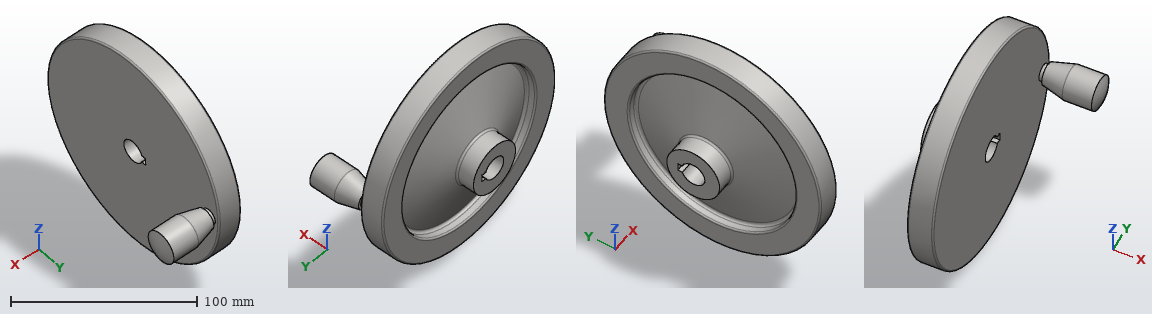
import cadquery as cq
import math

overall_length = 70.7
overall_width = 142.5

wheel_radius = 140.0 / 2
rim_width = 15.8
hub_radius = 34.0 / 2
hub_projection = 18.1
rim_edge_radius = 1.0

web_angle = math.radians(20)
web_face_radius = 34.6
recess_radius = 107.8 / 2
hub_fillet = 1.4
recess_fillet = 1.5

bore_diameter = 15.0
keyway_width = 5.0
keyway_reach = 10.0

grip_radius = 21.0 / 2
grip_base_radius = 13.7 / 2
neck_radius = 10.1 / 2
neck_length = 2.5
taper_length = 14.1
dome_height = 2.5

rim_back_x = hub_projection + rim_width
handle_y = overall_width - wheel_radius - grip_radius


def web_x(radius):
    """X position of the conical web at a given radius."""
    return hub_projection + (radius - web_face_radius) * math.tan(web_angle)


def circle_edge(x, radius):
    """Selector for circular edges at this X, up to this radius."""
    size = 0.07
    return cq.selectors.BoxSelector(
        (x - size, -radius - size, -radius - size),
        (x + size, radius + size, radius + size),
        boundingbox=True,
    )


def make_wheel():
    hub_root_x = web_x(hub_radius)
    recess_floor_x = web_x(recess_radius)
    wheel = (
        cq.Workplane("XY")
        .moveTo(0, 0)
        .lineTo(0, hub_radius)
        .lineTo(hub_root_x, hub_radius)
        .lineTo(recess_floor_x, recess_radius)
        .lineTo(hub_projection, recess_radius)
        .lineTo(hub_projection, wheel_radius)
        .lineTo(rim_back_x, wheel_radius)
        .lineTo(rim_back_x, 0)
        .close()
        .revolve(360, (0, 0, 0), (1, 0, 0))
    )
    wheel = wheel.edges(circle_edge(hub_root_x, hub_radius)).fillet(hub_fillet)
    wheel = wheel.edges(circle_edge(recess_floor_x, recess_radius)).fillet(recess_fillet)
    for rim_x in (hub_projection, rim_back_x):
        wheel = wheel.edges(circle_edge(rim_x, wheel_radius)).fillet(rim_edge_radius)
    return wheel


def make_bore():
    bore = cq.Workplane("YZ").circle(bore_diameter / 2).extrude(rim_back_x)
    keyway = (
        cq.Workplane("YZ")
        .center(keyway_reach / 2, 0)
        .rect(keyway_reach, keyway_width)
        .extrude(rim_back_x)
    )
    return bore.union(keyway)


def make_handle():
    """Neck, tapered grip and domed end, revolved about the handle axis."""
    neck_root_x = hub_projection + rim_width / 2
    taper_start_x = rim_back_x + neck_length
    taper_end_x = taper_start_x + taper_length
    dome_start_x = overall_length - dome_height
    dome_radius = (grip_radius**2 + dome_height**2) / (2 * dome_height)
    dome_mid_radius = grip_radius / 2
    dome_mid_x = overall_length - dome_radius + math.sqrt(dome_radius**2 - dome_mid_radius**2)
    return (
        cq.Workplane("XY", origin=(0, handle_y, 0))
        .moveTo(neck_root_x, 0)
        .lineTo(neck_root_x, neck_radius)
        .lineTo(taper_start_x, neck_radius)
        .lineTo(taper_start_x, grip_base_radius)
        .lineTo(taper_end_x, grip_radius)
        .lineTo(dome_start_x, grip_radius)
        .threePointArc((dome_mid_x, dome_mid_radius), (overall_length, 0))
        .close()
        .revolve(360, (0, 0, 0), (1, 0, 0))
    )


result = make_wheel().cut(make_bore()).union(make_handle())